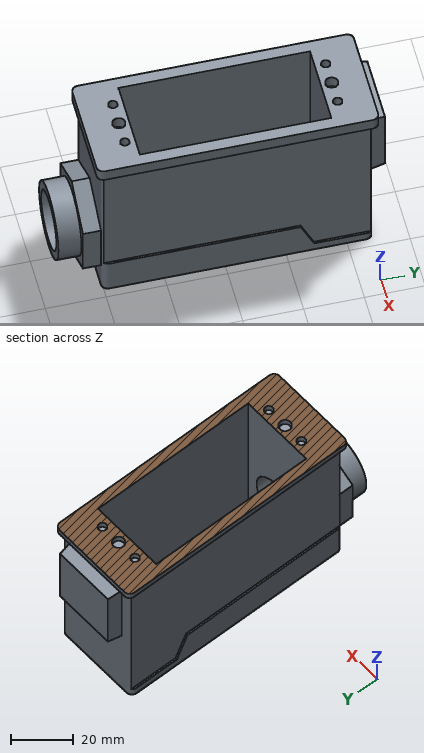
import cadquery as cq
import math

height = 61.0

flange_width = 36.4
flange_length = 92.6
flange_thickness = 4.3
corner_radius = 2.3

skirt_width = 34.0
body_width = 32.6
body_front = -44.6
body_back = 44.4
skirt_low_height = 3.0
skirt_high_height = 12.5
ramp_foot_y = 25.1
ramp_top_y = 20.7

cavity_width = 28.3
cavity_length = 63.0
cavity_center_y = -0.1
floor_thickness = (body_width - cavity_width) / 2

hole_row_y = 35.0
hole_spacing = 8.0
small_hole_diameter = 3.0
large_hole_diameter = 4.2

entry_z = 18.8
nut_across_flats = 30.2
nut_thickness = 5.9
spigot_diameter = 26.1
bore_diameter = 20.0
spigot_tip_y = -58.0

boss_tip_y = spigot_tip_y + 107.7
boss_tip_size = 23.5
boss_center_z = 41.7
boss_draft_angle = 8.0


def rounded_block(width, y_start, y_end, z_start, z_end):
    """Upright block with rounded vertical corners, centred on X = 0."""
    return (
        cq.Workplane("XY")
        .box(width, y_end - y_start, z_end - z_start, centered=(True, False, False))
        .translate((0, y_start, z_start))
        .edges("|Z")
        .fillet(corner_radius)
    )


def side_recess(side):
    """Material set back above the stepped skirt; side is +1 or -1 along X."""
    body_top = height - flange_thickness
    recess_depth = (skirt_width - body_width) / 2
    recess = (
        cq.Workplane("YZ")
        .moveTo(body_back, skirt_low_height)
        .lineTo(ramp_foot_y, skirt_low_height)
        .lineTo(ramp_top_y, skirt_high_height)
        .lineTo(body_front, skirt_high_height)
        .lineTo(body_front, body_top)
        .lineTo(body_back, body_top)
        .close()
        .extrude(side * recess_depth)
    )
    return recess.translate((side * body_width / 2, 0, 0))


def housing():
    """Body with recessed sides, topped by the flange."""
    body = rounded_block(skirt_width, body_front, body_back, 0, height - flange_thickness)
    for side in (-1, 1):
        body = body.cut(side_recess(side))
    flange = rounded_block(
        flange_width, -flange_length / 2, flange_length / 2, height - flange_thickness, height
    )
    return body.union(flange)


def cable_entry():
    """Nut with two corners on the vertical axis, and the spigot in front of it."""
    nut_across_corners = nut_across_flats / math.cos(math.radians(30))
    front_plane = cq.Workplane("XZ", origin=(0, body_front, entry_z))
    nut = (
        front_plane
        .transformed(rotate=(0, 0, 90))
        .polygon(6, nut_across_corners)
        .extrude(nut_thickness)
    )
    spigot = front_plane.circle(spigot_diameter / 2).extrude(body_front - spigot_tip_y)
    return nut.union(spigot)


def back_boss():
    """Square boss that widens from its tip towards the body."""
    boss_length = boss_tip_y - body_back
    root_size = boss_tip_size + 2 * boss_length * math.tan(math.radians(boss_draft_angle))
    return (
        cq.Workplane("XZ", origin=(0, boss_tip_y, boss_center_z))
        .rect(boss_tip_size, boss_tip_size)
        .workplane(offset=boss_length)
        .rect(root_size, root_size)
        .loft(ruled=True)
    )


def cavity():
    """Rectangular pocket from the top face down to the floor."""
    return (
        cq.Workplane("XY", origin=(0, cavity_center_y, floor_thickness))
        .rect(cavity_width, cavity_length)
        .extrude(height - floor_thickness)
    )


def cable_bore():
    """Round passage from the spigot tip into the cavity."""
    return (
        cq.Workplane("XZ", origin=(0, cavity_center_y, entry_z))
        .circle(bore_diameter / 2)
        .extrude(cavity_center_y - spigot_tip_y)
    )


def flange_holes():
    """Both rows of vertical holes, as deep as the flange is thick."""
    rows = (-hole_row_y, hole_row_y)
    small_centers = [(side * hole_spacing, y) for side in (-1, 1) for y in rows]
    large_centers = [(0, y) for y in rows]
    top = cq.Workplane("XY", origin=(0, 0, height))
    small = top.pushPoints(small_centers).circle(small_hole_diameter / 2).extrude(-flange_thickness)
    large = top.pushPoints(large_centers).circle(large_hole_diameter / 2).extrude(-flange_thickness)
    return small.union(large)


result = (
    housing()
    .union(cable_entry())
    .union(back_boss())
    .cut(cavity())
    .cut(cable_bore())
    .cut(flange_holes())
)